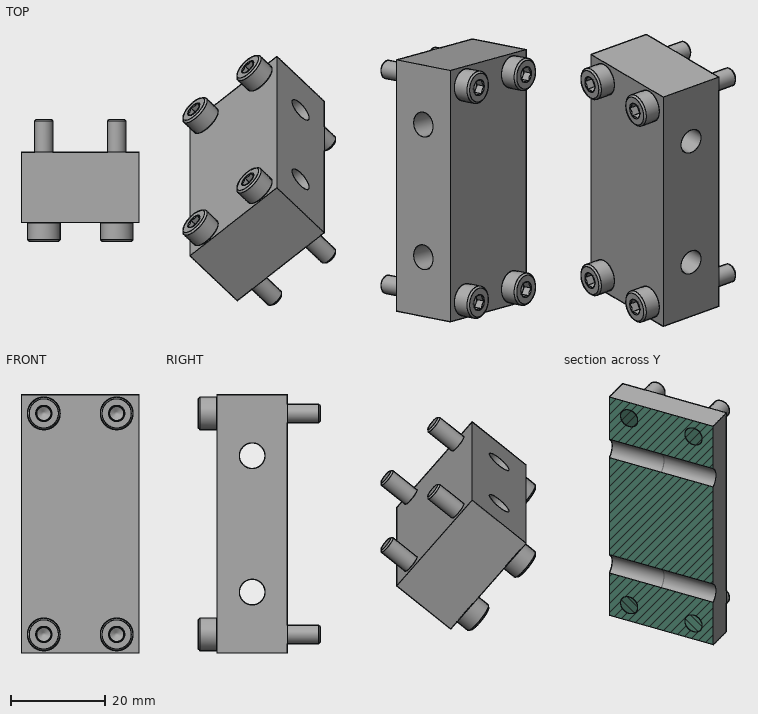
import cadquery as cq
import math

block_width = 25.0
block_depth = 15.0
block_height = 55.0
front_y = -block_depth / 2

cross_hole_diameter = 5.4
cross_hole_spacing = 29.0

screw_spacing_x = 15.5
screw_spacing_z = 47.0
shank_diameter = 4.0
shank_length = 22.0
thread_minor_diameter = 3.24
tip_chamfer = (shank_diameter - thread_minor_diameter) / 2
head_diameter = 7.0
head_height = 4.0
head_chamfer = 0.4
underhead_chamfer = 0.1

socket_across_flats = 3.0
socket_across_corners = socket_across_flats / math.cos(math.pi / 6)
socket_depth = 2.0
socket_mouth_chamfer = (socket_across_corners - socket_across_flats) / 2
socket_cone_half_angle = 60.0
socket_cone_height = socket_across_flats / 2 / math.tan(math.radians(socket_cone_half_angle))

screw_positions = [
    (x, z)
    for x in (-screw_spacing_x / 2, screw_spacing_x / 2)
    for z in (-screw_spacing_z / 2, screw_spacing_z / 2)
]


def make_block():
    """Rectangular block with two cross holes and four screw holes."""
    body = cq.Workplane("XY").box(block_width, block_depth, block_height)
    cross_holes = (
        cq.Workplane("YZ")
        .pushPoints([(0, -cross_hole_spacing / 2), (0, cross_hole_spacing / 2)])
        .circle(cross_hole_diameter / 2)
        .extrude(block_width / 2, both=True)
    )
    screw_holes = (
        cq.Workplane("XZ")
        .pushPoints(screw_positions)
        .circle(shank_diameter / 2)
        .extrude(block_depth / 2, both=True)
    )
    return body.cut(cross_holes).cut(screw_holes)


def make_socket():
    """Cutting body for the hexagon socket, open at the top of an upright head."""
    floor_z = head_height - socket_depth
    hexagon = (
        cq.Workplane("XY")
        .workplane(offset=floor_z)
        .polygon(6, socket_across_corners)
        .extrude(socket_depth)
    )
    bottom_cone = cq.Workplane(
        cq.Solid.makeCone(
            socket_across_flats / 2, 0, socket_cone_height,
            pnt=cq.Vector(0, 0, floor_z), dir=cq.Vector(0, 0, -1),
        )
    )
    mouth_cone = cq.Workplane(
        cq.Solid.makeCone(
            socket_across_corners / 2, socket_across_flats / 2, socket_mouth_chamfer,
            pnt=cq.Vector(0, 0, head_height), dir=cq.Vector(0, 0, -1),
        )
    )
    return hexagon.union(bottom_cone).union(mouth_cone)


def make_screw(x, z):
    """Cap screw placed at (x, z), built upright and then turned to face -Y."""
    head = (
        cq.Workplane("XY")
        .circle(head_diameter / 2)
        .extrude(head_height)
        .faces(">Z")
        .chamfer(head_chamfer)
        .faces("<Z")
        .chamfer(underhead_chamfer)
    )
    shank = (
        cq.Workplane("XY")
        .circle(shank_diameter / 2)
        .extrude(-shank_length)
        .faces("<Z")
        .chamfer(tip_chamfer)
    )
    upright = head.union(shank).cut(make_socket())
    facing_front = upright.rotate((0, 0, 0), (1, 0, 0), 90)
    return facing_front.translate((x, front_y, z))


block = make_block()
screws = [make_screw(x, z) for x, z in screw_positions]

result = cq.Compound.makeCompound([block.val(), *[screw.val() for screw in screws]])